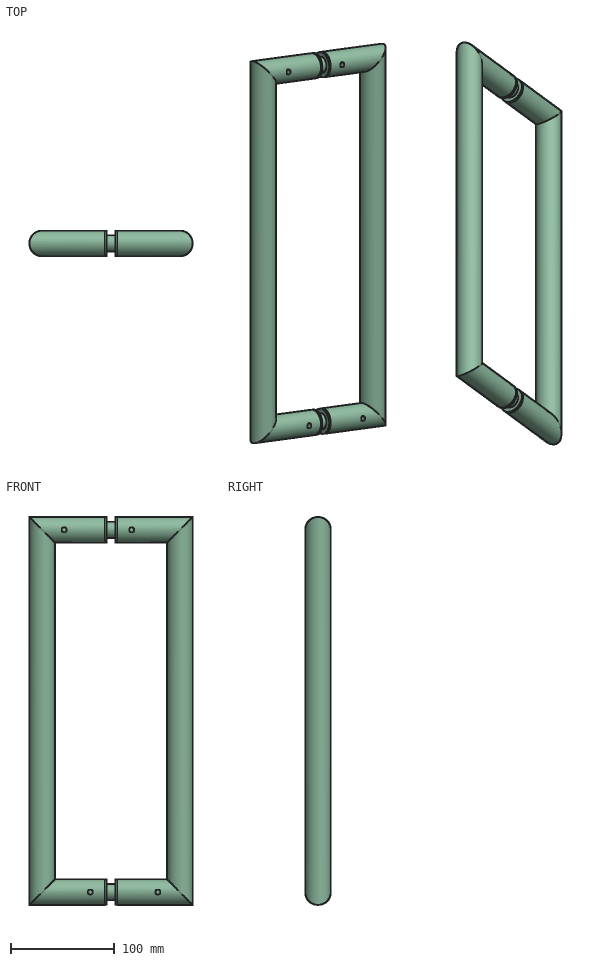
import cadquery as cq


overall_width = 158.0
overall_height = 375.0

bar_diameter = 25.0
bar_radius = bar_diameter / 2
grip_x = overall_width / 2 - bar_radius
leg_z = overall_height / 2 - bar_radius

gap = 8.0
spacer_diameter = 16.0
collar_diameter = 24.8
collar_thickness = 2.0
leg_end_x = gap / 2 + collar_thickness

screw_hole_diameter = 4.92
screw_hole_depth = 8.0
near_hole_x = 20.0
far_hole_x = 45.3


def x_cylinder(start_x, length, diameter, z):
    """Cylinder running along +X from start_x at height z."""
    return cq.Workplane("YZ", origin=(start_x, 0, z)).circle(diameter / 2).extrude(length)


def screw_hole(x, z):
    """Blind cutter entering a leg from the -Y side."""
    floor_y = screw_hole_depth - bar_radius
    return cq.Workplane("XZ", origin=(x, floor_y, z)).circle(screw_hole_diameter / 2).extrude(bar_radius)


def handle(side, top_hole_x, bottom_hole_x):
    """Round bar with two square mitred corners; side is -1 for -X and +1 for +X."""
    path = cq.Workplane("XZ").polyline(
        [
            (side * leg_end_x, leg_z),
            (side * grip_x, leg_z),
            (side * grip_x, -leg_z),
            (side * leg_end_x, -leg_z),
        ]
    )
    profile = cq.Workplane("YZ", origin=(side * leg_end_x, 0, leg_z)).circle(bar_radius)
    bar = profile.sweep(path, transition="right")
    bar = bar.cut(screw_hole(side * top_hole_x, leg_z))
    return bar.cut(screw_hole(side * bottom_hole_x, -leg_z))


def collar(side, z):
    """Disc between the end of a leg and the spacer."""
    start_x = gap / 2 if side > 0 else -leg_end_x
    return x_cylinder(start_x, collar_thickness, collar_diameter, z)


def spacer(z):
    """Round spacer filling the gap between a pair of collars."""
    return x_cylinder(-gap / 2, gap, spacer_diameter, z)


handles = [
    handle(-1, far_hole_x, near_hole_x),
    handle(1, near_hole_x, far_hole_x),
]
collars = [collar(side, z) for side in (-1, 1) for z in (-leg_z, leg_z)]
spacers = [spacer(z) for z in (-leg_z, leg_z)]

result = cq.Compound.makeCompound([body.val() for body in handles + collars + spacers])